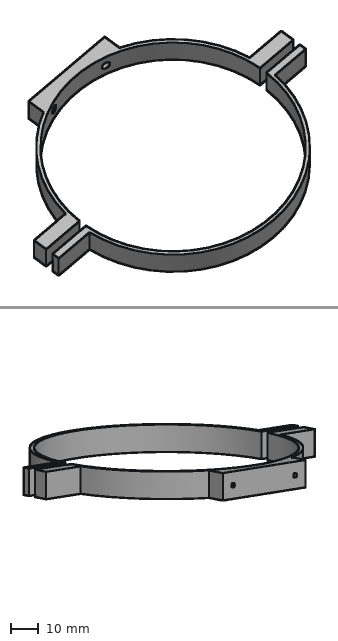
import cadquery as cq
import math

band_height = 10.0
inner_radius = 47.5
band_thickness = 1.5
clamp_span = 130.0
split_gap = 3.1
pad_lug_thickness = 6.0
plain_lug_thickness = 3.0
pad_face_x = -52.0
pad_width = 40.0
screw_spacing = 30.0
screw_tilt = 12.0
screw_diameter = 1.5
head_diameter = 3.2
head_seat_depth = 1.0

outer_radius = inner_radius + band_thickness


def block(x_min, x_max, width):
    """Box of band height between two X positions, centred on Y and Z."""
    center_x = (x_min + x_max) / 2
    return cq.Workplane("XY").box(x_max - x_min, width, band_height).translate((center_x, 0, 0))


def cylinder(radius):
    """Disc of band height on the ring axis."""
    return cq.Workplane("XY").circle(radius).extrude(band_height / 2, both=True)


def half_band(side, lug_thickness):
    """Solid half disc with lugs; side is -1 or +1 along X. The bore is still filled."""
    split_x = side * split_gap / 2
    disc_end_x = side * outer_radius
    lug_end_x = split_x + side * lug_thickness
    keep = block(min(split_x, disc_end_x), max(split_x, disc_end_x), 2 * outer_radius)
    lugs = block(min(split_x, lug_end_x), max(split_x, lug_end_x), clamp_span)
    return cylinder(outer_radius).intersect(keep).union(lugs)


def screw_hole(side):
    """Tilted screw hole with a head counterbore opening into the bore; side is -1 or +1 along Y."""
    entry = cq.Vector(pad_face_x, side * screw_spacing / 2, 0)
    tilt = math.radians(screw_tilt)
    inward = cq.Vector(math.cos(tilt), -side * math.sin(tilt), 0)
    length = entry.Length / 2
    shank = cq.Solid.makeCylinder(screw_diameter / 2, 2 * length, entry - inward * length, inward)
    head = cq.Solid.makeCylinder(head_diameter / 2, length, entry + inward * head_seat_depth, inward)
    return cq.Workplane("XY").add(shank).union(cq.Workplane("XY").add(head))


def make_pad_half():
    """Half clamp on the -X side, with the flat mounting pad."""
    pad = block(pad_face_x, -inner_radius / 2, pad_width)
    body = half_band(-1, pad_lug_thickness).union(pad)
    body = body.cut(cylinder(inner_radius))
    for side in (-1, 1):
        body = body.cut(screw_hole(side))
    return body


def make_plain_half():
    """Half clamp on the +X side."""
    return half_band(1, plain_lug_thickness).cut(cylinder(inner_radius))


pad_half = make_pad_half()
plain_half = make_plain_half()

result = cq.Compound.makeCompound([pad_half.val(), plain_half.val()])